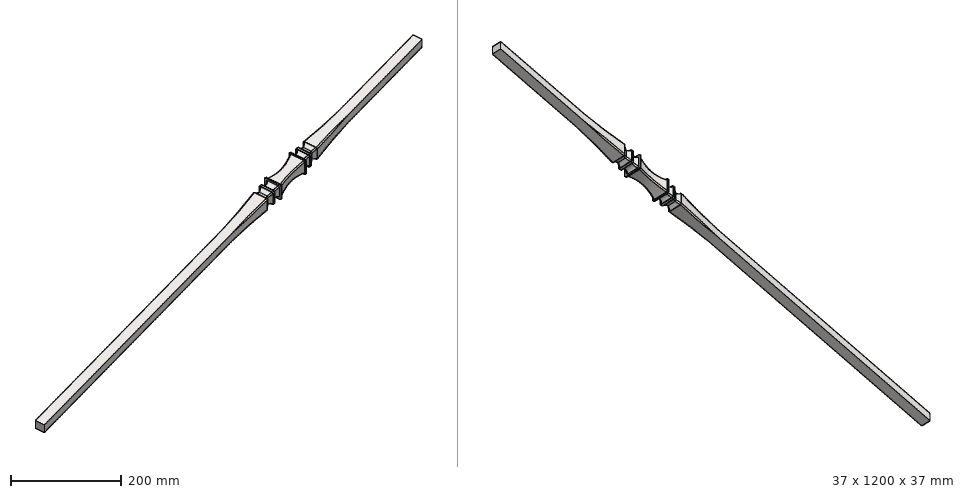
import cadquery as cq
import math

TOTAL_LENGTH = 1200.0
UPPER_LENGTH = 420.0
BAR_HALF = 10.0
BEVEL = 2.5

TOP_Y = TOTAL_LENGTH / 2
BOTTOM_Y = -TOTAL_LENGTH / 2
MIDDLE_Y = TOP_Y - UPPER_LENGTH

WAIST_HALF = 11.5
WAIST_END_HALF = 16.5

COLLAR_HALF = 18.5
COLLAR_OFFSET = 38.9
COLLAR_THICKNESS = 2.6

INNER_GROOVE_EDGE_HALF = 14.5
INNER_GROOVE_HALF = 11.5

RING_HALF = 16.0
RING_OFFSET = 58.0
RING_THICKNESS = 5.0

OUTER_GROOVE_EDGE_HALF = 14.5
OUTER_GROOVE_HALF = 10.5

SLEEVE_START = 79.0
SLEEVE_MOUTH_HALF = 15.6
SLEEVE_HOLLOW = 0.2
SLEEVE_END = 185.0


def square_reach(half):
    """Distance from the axis to the flat sides of a square of this half-width."""
    return half


def bevel_reach(half):
    """Distance from the axis to the corner bevels of a square of this half-width.

    The bevel fades to nothing where the sleeve comes down to the bar's width.
    """
    bevel = BEVEL if half > BAR_HALF else 0.0
    return (2 * half - bevel) / math.sqrt(2)


def half_moulding_slab(reach, turn):
    """Side profile of one half of the moulding, as a slab turned about Y.

    reach converts a half-width to the distance of the profile from the axis.
    """
    collar_in = COLLAR_OFFSET - COLLAR_THICKNESS / 2
    collar_out = COLLAR_OFFSET + COLLAR_THICKNESS / 2
    ring_in = RING_OFFSET - RING_THICKNESS / 2
    ring_out = RING_OFFSET + RING_THICKNESS / 2
    inner_groove_offset = (collar_out + ring_in) / 2
    outer_groove_offset = (ring_out + SLEEVE_START) / 2

    sleeve_middle = (SLEEVE_START + SLEEVE_END) / 2
    sleeve_middle_half = (SLEEVE_MOUTH_HALF + BAR_HALF) / 2 - SLEEVE_HOLLOW

    def at(offset, half):
        return (offset, reach(half))

    profile = (
        cq.Workplane("YZ")
        .moveTo(-collar_in, 0)
        .lineTo(*at(-collar_in, WAIST_END_HALF))
        .threePointArc(at(0, WAIST_HALF), at(collar_in, WAIST_END_HALF))
        .lineTo(*at(collar_in, COLLAR_HALF))
        .lineTo(*at(collar_out, COLLAR_HALF))
        .lineTo(*at(collar_out, INNER_GROOVE_EDGE_HALF))
        .threePointArc(
            at(inner_groove_offset, INNER_GROOVE_HALF),
            at(ring_in, INNER_GROOVE_EDGE_HALF),
        )
        .lineTo(*at(ring_in, RING_HALF))
        .lineTo(*at(ring_out, RING_HALF))
        .lineTo(*at(ring_out, OUTER_GROOVE_EDGE_HALF))
        .lineTo(*at(outer_groove_offset, OUTER_GROOVE_HALF))
        .lineTo(*at(SLEEVE_START, OUTER_GROOVE_EDGE_HALF))
        .lineTo(*at(SLEEVE_START, SLEEVE_MOUTH_HALF))
        .threePointArc(at(sleeve_middle, sleeve_middle_half), at(SLEEVE_END, BAR_HALF))
        .lineTo(SLEEVE_END, 0)
        .close()
    )
    upper = profile.extrude(2 * COLLAR_HALF, both=True)
    slab = upper.union(upper.mirror("XY"))
    return slab.rotate((0, 0, 0), (0, 1, 0), turn)


def moulding():
    """Both halves of the moulded section, centred on the origin."""
    half = half_moulding_slab(square_reach, 0)
    half = half.intersect(half_moulding_slab(square_reach, 90))
    for turn in (45, 135):
        half = half.intersect(half_moulding_slab(bevel_reach, turn))
    return half.union(half.mirror("XZ"))


def bar(start_y, end_y):
    """Plain square bar between two positions along Y."""
    width = 2 * BAR_HALF
    length = end_y - start_y
    return cq.Workplane("XY").box(width, length, width).translate((0, start_y + length / 2, 0))


result = moulding().translate((0, MIDDLE_Y, 0))
result = result.union(bar(BOTTOM_Y, MIDDLE_Y - SLEEVE_END))
result = result.union(bar(MIDDLE_Y + SLEEVE_END, TOP_Y))